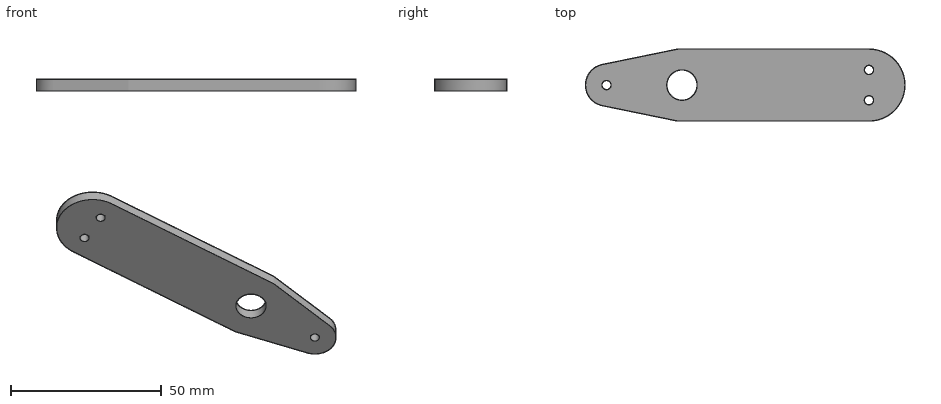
import cadquery as cq
import math

length = 106.0
width = 24.0
thickness = 4.0

nose_radius = 7.0
tail_radius = width / 2
nose_x = -length / 2 + nose_radius
tail_x = length / 2 - tail_radius

shoulder_from_tip = 30.6
shoulder_x = -length / 2 + shoulder_from_tip

pivot_diameter = 10.0
pivot_from_nose_hole = 25.0
pivot_x = nose_x + pivot_from_nose_hole
small_hole_diameter = 3.0
tail_hole_spacing = 10.1

shoulder_run = shoulder_x - nose_x
shoulder_distance = math.hypot(shoulder_run, tail_radius)
tangent_angle = math.atan2(tail_radius, shoulder_run) + math.acos(nose_radius / shoulder_distance)
tangent_x = nose_x + nose_radius * math.cos(tangent_angle)
tangent_y = nose_radius * math.sin(tangent_angle)


def arm_plate():
    """Flat plate with a tapered nose and a round tail."""
    return (
        cq.Workplane("XY")
        .moveTo(tangent_x, tangent_y)
        .lineTo(shoulder_x, tail_radius)
        .lineTo(tail_x, tail_radius)
        .threePointArc((length / 2, 0), (tail_x, -tail_radius))
        .lineTo(shoulder_x, -tail_radius)
        .lineTo(tangent_x, -tangent_y)
        .threePointArc((-length / 2, 0), (tangent_x, tangent_y))
        .close()
        .extrude(thickness)
    )


def through_holes(centers, diameter):
    """Cylinders that cut through the whole plate."""
    return cq.Workplane("XY").pushPoints(centers).circle(diameter / 2).extrude(thickness)


small_hole_centers = [
    (nose_x, 0),
    (tail_x, tail_hole_spacing / 2),
    (tail_x, -tail_hole_spacing / 2),
]

result = (
    arm_plate()
    .cut(through_holes([(pivot_x, 0)], pivot_diameter))
    .cut(through_holes(small_hole_centers, small_hole_diameter))
)